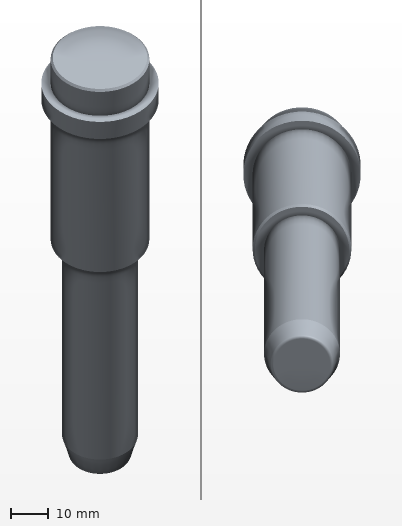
import cadquery as cq
import math

length = 140.0

collar_diameter = 31.0
body_diameter = 26.0
shank_diameter = 20.0

body_bottom = 75.3
collar_bottom = 125.0
collar_thickness = 6.0

taper_length = 7.0
taper_angle = 15.0
tip_diameter = shank_diameter - 2 * taper_length * math.tan(math.radians(taper_angle))

body_chamfer = 0.5
tip_fillet = 0.8


def cylinder(diameter, bottom, top):
    """Upright cylinder on the Z axis between two heights."""
    return cq.Workplane("XY").workplane(offset=bottom).circle(diameter / 2).extrude(top - bottom)


body = cylinder(body_diameter, body_bottom, length).faces("<Z or >Z").edges().chamfer(body_chamfer)

collar = cylinder(collar_diameter, collar_bottom, collar_bottom + collar_thickness)

shank = cylinder(shank_diameter, taper_length, body_bottom)

tip = (
    cq.Workplane("XY")
    .circle(tip_diameter / 2)
    .workplane(offset=taper_length)
    .circle(shank_diameter / 2)
    .loft(ruled=True)
    .faces("<Z")
    .edges()
    .fillet(tip_fillet)
)

result = body.union(collar).union(shank).union(tip)